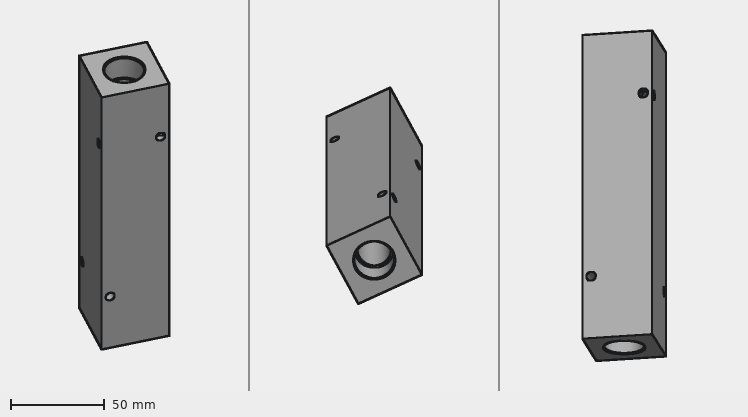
import cadquery as cq

INCH = 25.4
SIDE = 1.5 * INCH
LENGTH = 6.75 * INCH
HALF_LENGTH = LENGTH / 2

BORE_DIAMETER = 45 / 64 * INCH
PORT_MOUTH_DIAMETER = 0.84 * INCH
PORT_TAPER = 1 / 16
PORT_DEPTH = 13.45
CHAMFER_DIAMETER = 22.6

HOLE_DIAMETER = 5.05
HOLE_OFFSET = 0.56 * INCH
HOLE_SPACING = 4 * INCH


def bore_cutter():
    """Revolved bore profile, with the same port and chamfer at both ends."""
    bore_radius = BORE_DIAMETER / 2
    mouth_radius = PORT_MOUTH_DIAMETER / 2
    chamfer_radius = CHAMFER_DIAMETER / 2
    chamfer_depth = chamfer_radius - mouth_radius
    port_end_radius = mouth_radius - PORT_TAPER * (PORT_DEPTH - chamfer_depth) / 2
    upper = [
        (bore_radius, HALF_LENGTH - PORT_DEPTH),
        (port_end_radius, HALF_LENGTH - PORT_DEPTH),
        (mouth_radius, HALF_LENGTH - chamfer_depth),
        (chamfer_radius, HALF_LENGTH),
        (0, HALF_LENGTH),
    ]
    lower = [(radius, -height) for radius, height in reversed(upper)]
    return cq.Workplane("XZ").polyline(upper + lower).close().revolve(360, (0, 0), (0, 1))


def cross_hole_cutter(plane):
    """Two holes through the bar on opposite sides of its centre line."""
    centres = [
        (HOLE_OFFSET, HOLE_SPACING / 2),
        (-HOLE_OFFSET, -HOLE_SPACING / 2),
    ]
    return (
        cq.Workplane(plane)
        .pushPoints(centres)
        .circle(HOLE_DIAMETER / 2)
        .extrude(SIDE, both=True)
    )


bar = cq.Workplane("XY").box(SIDE, SIDE, LENGTH)

result = (
    bar.cut(bore_cutter())
    .cut(cross_hole_cutter("XZ"))
    .cut(cross_hole_cutter("YZ"))
)